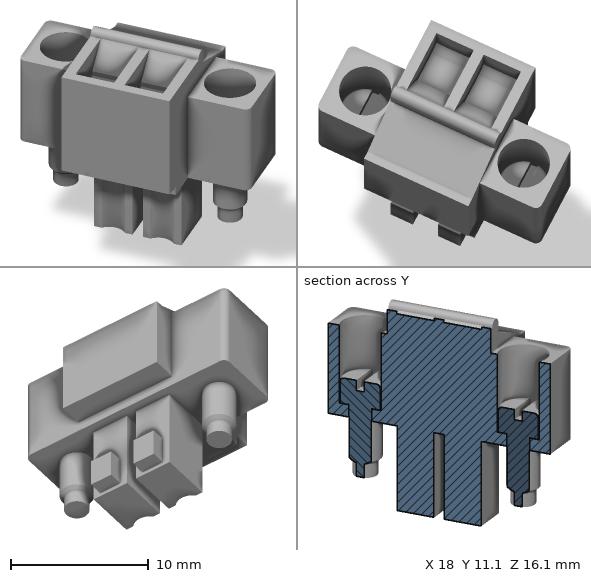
import cadquery as cq
import math


total_length = 18.01
rear_y = 4.68
front_y = -6.41
leg_bottom_z = -6.61

block_width = 8.43
block_top_z = 8.99
step_height = 0.83
front_step_y = -5.19
rear_top_z = 6.83
rear_ledge_depth = 0.61
ridge_width = 1.0
ridge_y = -0.18
ridge_radius = ridge_width / 2
ridge_axis_z = block_top_z
ridge_front_y = ridge_y - ridge_radius
ridge_rear_y = ridge_y + ridge_radius
slope_top_z = 8.25

pole_pitch = 3.82
pole_width = 3.0
pole_centers = [-pole_pitch / 2, pole_pitch / 2]
pocket_ramp_end_y = -2.36
pocket_ramp_end_z = 7.17
pocket_floor_z = 6.79
pocket_floor_front_y = -4.85
pocket_front_y = -5.65
pocket_front_rise = 0.23
leg_depth = 4.03
groove_width = 1.8
groove_depth = 0.4
tab_width = 1.8
tab_length = 1.13
tab_bottom_z = -6.3
tab_top_z = -4.02

flange_depth = 5.58
flange_height = 7.08
flange_corner_radius = 0.5
screw_spacing = 12.8
screw_centers = [-screw_spacing / 2, screw_spacing / 2]
counterbore_diameter = 3.8
screw_seat_z = 1.0

head_diameter = 3.7
head_height = 2.0
head_edge_radius = 0.3
slot_width = 0.6
slot_depth = 0.8
shank_diameter = 2.5
shank_end_z = -3.15
tip_diameter = 1.85
tip_start_z = -3.45
tip_end_z = -4.52


def make_block():
    """Terminal block: its side profile, with sloping roof and rounded ridge, run along X."""
    return (
        cq.Workplane("YZ", origin=(-block_width / 2, 0, 0))
        .moveTo(front_step_y, 0)
        .lineTo(flange_depth / 2, 0)
        .lineTo(flange_depth / 2, step_height)
        .lineTo(rear_y, step_height)
        .lineTo(rear_y, rear_top_z)
        .lineTo(rear_y - rear_ledge_depth, rear_top_z)
        .lineTo(ridge_rear_y, slope_top_z)
        .lineTo(ridge_rear_y, ridge_axis_z)
        .threePointArc((ridge_y, ridge_axis_z + ridge_radius), (ridge_front_y, ridge_axis_z))
        .lineTo(front_y, block_top_z)
        .lineTo(front_y, step_height)
        .lineTo(front_step_y, step_height)
        .close()
        .extrude(block_width)
    )


def make_flanges():
    """Bar carrying both screws, with rounded vertical corners; its middle lies inside the block."""
    return (
        cq.Workplane("XY")
        .rect(total_length, flange_depth)
        .extrude(flange_height)
        .edges("|Z")
        .fillet(flange_corner_radius)
    )


def make_leg(center_x):
    """Plug leg with a round groove down its front and a tab on its back."""
    half_width = pole_width / 2
    half_groove = groove_width / 2
    half_depth = leg_depth / 2
    leg = (
        cq.Workplane("XY", origin=(center_x, 0, leg_bottom_z))
        .moveTo(-half_width, half_depth)
        .lineTo(-half_width, -half_depth)
        .lineTo(-half_groove, -half_depth)
        .threePointArc((0, groove_depth - half_depth), (half_groove, -half_depth))
        .lineTo(half_width, -half_depth)
        .lineTo(half_width, half_depth)
        .close()
        .extrude(-leg_bottom_z)
    )
    tab = cq.Workplane("XY", origin=(center_x, half_depth, tab_bottom_z)).box(
        tab_width, tab_length, tab_top_z - tab_bottom_z, centered=(True, False, False)
    )
    return leg.union(tab)


def make_pocket(center_x):
    """Wire pocket: ramp down from the ridge, flat floor, small rise at the front wall."""
    return (
        cq.Workplane("YZ", origin=(center_x - pole_width / 2, 0, 0))
        .moveTo(ridge_front_y, block_top_z)
        .lineTo(pocket_ramp_end_y, pocket_ramp_end_z)
        .lineTo(pocket_ramp_end_y, pocket_floor_z)
        .lineTo(pocket_floor_front_y, pocket_floor_z)
        .lineTo(pocket_front_y, pocket_floor_z + pocket_front_rise)
        .lineTo(pocket_front_y, block_top_z)
        .close()
        .extrude(pole_width)
    )


def make_screw_hole(center_x):
    """Counterbore for the screw head and a shank hole through the flange floor."""
    counterbore = (
        cq.Workplane("XY", origin=(center_x, 0, screw_seat_z))
        .circle(counterbore_diameter / 2)
        .extrude(flange_height - screw_seat_z)
    )
    shank_hole = (
        cq.Workplane("XY", origin=(center_x, 0, 0)).circle(shank_diameter / 2).extrude(screw_seat_z)
    )
    return counterbore.union(shank_hole)


def make_housing():
    housing = make_block().union(make_flanges())
    for center_x in pole_centers:
        housing = housing.union(make_leg(center_x)).cut(make_pocket(center_x))
    for center_x in screw_centers:
        housing = housing.cut(make_screw_hole(center_x))
    return housing


def make_screw(center_x):
    """Slotted screw: half its profile turned about the Z axis, then the driver slot cut."""
    head_radius = head_diameter / 2
    head_top_z = screw_seat_z + head_height
    arc_center_r = head_radius - head_edge_radius
    arc_center_z = head_top_z - head_edge_radius
    arc_reach = head_edge_radius * math.sqrt(0.5)
    screw = (
        cq.Workplane("XZ")
        .moveTo(0, tip_end_z)
        .lineTo(tip_diameter / 2, tip_end_z)
        .lineTo(tip_diameter / 2, tip_start_z)
        .lineTo(shank_diameter / 2, shank_end_z)
        .lineTo(shank_diameter / 2, screw_seat_z)
        .lineTo(head_radius, screw_seat_z)
        .lineTo(head_radius, arc_center_z)
        .threePointArc(
            (arc_center_r + arc_reach, arc_center_z + arc_reach),
            (arc_center_r, head_top_z),
        )
        .lineTo(0, head_top_z)
        .close()
        .revolve(360, (0, 0, 0), (0, 1, 0))
    )
    slot = cq.Workplane("XY", origin=(0, 0, head_top_z - slot_depth)).box(
        slot_width, head_diameter, slot_depth, centered=(True, True, False)
    )
    return screw.cut(slot).translate((center_x, 0, 0))


housing = make_housing()
screws = [make_screw(center_x) for center_x in screw_centers]

result = cq.Compound.makeCompound([housing.val(), *[screw.val() for screw in screws]])